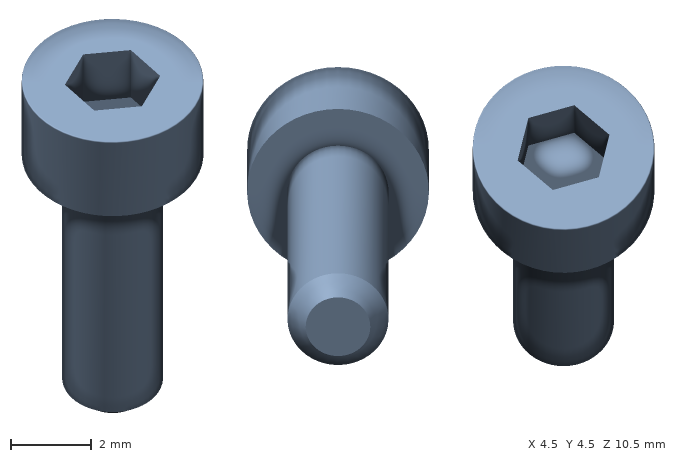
import cadquery as cq

head_diameter = 4.5
head_height = 2.5
head_edge_fillet = 0.03
shank_diameter = 2.5
shank_length = 8.0
tip_chamfer = 0.45
socket_across_flats = 2.06
socket_depth = 1.6

HEX_SIDES = 6
HALF_HEX_STEP = 180 / HEX_SIDES


def make_head():
    """Cylindrical head with a slightly rounded top rim."""
    head = cq.Workplane("XY").circle(head_diameter / 2).extrude(head_height)
    return head.faces(">Z").edges().fillet(head_edge_fillet)


def make_shank():
    """Plain shank below the head, chamfered at its tip."""
    shank = cq.Workplane("XY").circle(shank_diameter / 2).extrude(-shank_length)
    return shank.faces("<Z").edges().chamfer(tip_chamfer)


def make_socket():
    """Hexagonal key socket with two opposite corners on the X axis."""
    socket = (
        cq.Workplane("XY", origin=(0, 0, head_height))
        .polygon(HEX_SIDES, socket_across_flats, circumscribed=True)
        .extrude(-socket_depth)
    )
    return socket.rotate((0, 0, 0), (0, 0, 1), HALF_HEX_STEP)


result = make_head().union(make_shank()).cut(make_socket())